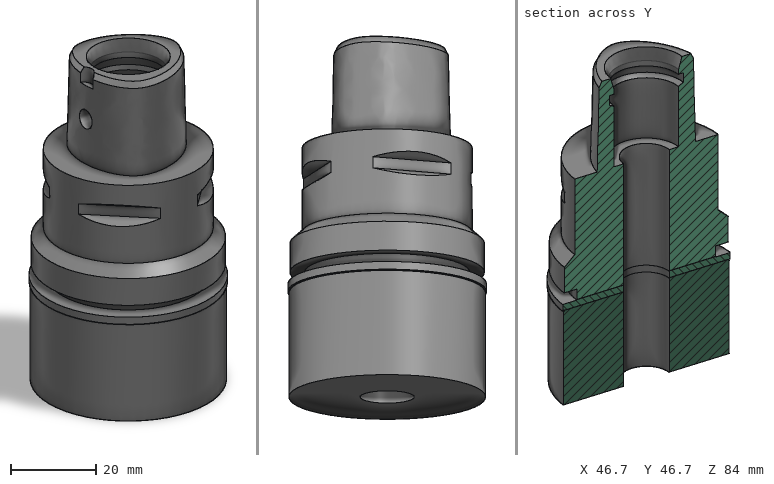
import cadquery as cq
import math

TOTAL_HEIGHT = 84.0
SLEEVE_HEIGHT = 25.4
RING_TOP = 27.2
SHOULDER_BOTTOM = 30.1
SHOULDER_TOP = 37.05
COLLAR_BOTTOM = 39.65
COLLAR_TOP = 60.0

SLEEVE_DIAMETER = 46.2
SLEEVE_CHAMFER = 0.25
RING_DIAMETER = 46.7
NECK_DIAMETER = 38.8
SHOULDER_DIAMETER = 45.7
COLLAR_DIAMETER = 40.0
THROUGH_BORE_DIAMETER = 12.7

SHANK_BASE_DIAMETER = 28.05
SHANK_ECCENTRICITY = 0.9
SHANK_TAPER = 1 / 20
SHANK_CHAMFER_HEIGHT = 1.5
SHANK_CHAMFER_WIDTH = 0.75
OUTLINE_POINTS = 48

BORE_DIAMETER = 17.9
BORE_FLOOR = COLLAR_TOP
LEAD_IN_DIAMETER = 19.7
LEAD_IN_DEPTH = 3.2
GROOVE_DIAMETER = 20.5
GROOVE_TOP_DEPTH = 4.6
GROOVE_BOTTOM_DEPTH = 7.05
GROOVE_CONE_HEIGHT = 0.75

NOTCH_RADIUS = 2.6
NOTCH_DEPTH = 3.95
NOTCH_INNER_EDGE = 10.9
CROSS_HOLE_DIAMETER = 4.8
CROSS_HOLE_HEIGHT = 71.4

SLOT_COUNT = 4
SLOT_FIRST_ANGLE = 45
SLOT_FLOOR_RADIUS = 17.5
SLOT_FLOOR_WIDTH = 2.7
SLOT_HEIGHT = 52.0
SLOT_WALL_ANGLE = 30


def cylinder(diameter, bottom, top):
    """Upright cylinder on the Z axis."""
    return cq.Workplane("XY").workplane(offset=bottom).circle(diameter / 2).extrude(top - bottom)


def revolved(profile):
    """Solid turned about Z from (radius, height) points."""
    return cq.Workplane("XZ").polyline(profile).close().revolve(360, (0, 0), (0, 1))


def lobed_wire(diameter, height):
    """Three-lobed outline with one lobe toward +Y and a flat side toward -Y."""
    e = SHANK_ECCENTRICITY

    def point(angle):
        across = diameter / 2 * math.sin(angle) + 2 * e * math.sin(2 * angle) + e * math.sin(4 * angle)
        along = diameter / 2 * math.cos(angle) - 2 * e * math.cos(2 * angle) + e * math.cos(4 * angle)
        return cq.Vector(across, -along, height)

    points = [point(2 * math.pi * i / OUTLINE_POINTS) for i in range(OUTLINE_POINTS)]
    return cq.Wire.assembleEdges([cq.Edge.makeSpline(points, periodic=True)])


def shank_solid():
    """Tapered lobed shank with a chamfered top."""
    chamfer_bottom = TOTAL_HEIGHT - SHANK_CHAMFER_HEIGHT
    edge_diameter = SHANK_BASE_DIAMETER - SHANK_TAPER * (chamfer_bottom - COLLAR_TOP)
    top_diameter = edge_diameter - 2 * SHANK_CHAMFER_WIDTH
    base = lobed_wire(SHANK_BASE_DIAMETER, COLLAR_TOP)
    edge = lobed_wire(edge_diameter, chamfer_bottom)
    top = lobed_wire(top_diameter, TOTAL_HEIGHT)
    return cq.Workplane(cq.Solid.makeLoft([base, edge, top], True))


def turned_body():
    """Neck, shoulder with its conical top, and collar."""
    profile = [
        (0, RING_TOP),
        (NECK_DIAMETER / 2, RING_TOP),
        (NECK_DIAMETER / 2, SHOULDER_BOTTOM),
        (SHOULDER_DIAMETER / 2, SHOULDER_BOTTOM),
        (SHOULDER_DIAMETER / 2, SHOULDER_TOP),
        (COLLAR_DIAMETER / 2, COLLAR_BOTTOM),
        (COLLAR_DIAMETER / 2, COLLAR_TOP),
        (0, COLLAR_TOP),
    ]
    return revolved(profile)


def bore_tool():
    """Conical lead-in, lip, groove with a conical floor, then a plain bore to a flat floor."""
    groove_bottom = TOTAL_HEIGHT - GROOVE_BOTTOM_DEPTH
    profile = [
        (0, BORE_FLOOR),
        (BORE_DIAMETER / 2, BORE_FLOOR),
        (BORE_DIAMETER / 2, groove_bottom - GROOVE_CONE_HEIGHT),
        (GROOVE_DIAMETER / 2, groove_bottom),
        (GROOVE_DIAMETER / 2, TOTAL_HEIGHT - GROOVE_TOP_DEPTH),
        (BORE_DIAMETER / 2, TOTAL_HEIGHT - GROOVE_TOP_DEPTH),
        (BORE_DIAMETER / 2, TOTAL_HEIGHT - LEAD_IN_DEPTH),
        (LEAD_IN_DIAMETER / 2, TOTAL_HEIGHT),
        (0, TOTAL_HEIGHT),
    ]
    return revolved(profile)


def notch_tool():
    """Round-walled notch in the top edge of the shank."""
    notch = cylinder(2 * NOTCH_RADIUS, TOTAL_HEIGHT - NOTCH_DEPTH, TOTAL_HEIGHT)
    return notch.translate((0, -(NOTCH_INNER_EDGE + NOTCH_RADIUS), 0))


def cross_hole_tool():
    """Radial hole from the -Y side into the bore."""
    hole = cq.Workplane("XZ").center(0, CROSS_HOLE_HEIGHT).circle(CROSS_HOLE_DIAMETER / 2)
    return hole.extrude(SHANK_BASE_DIAMETER)


def slot_tool(angle):
    """Straight slot with a flat floor and flared walls, turned about Z by the angle."""
    collar_radius = COLLAR_DIAMETER / 2
    half_floor = SLOT_FLOOR_WIDTH / 2
    flare = (collar_radius - SLOT_FLOOR_RADIUS) * math.tan(math.radians(SLOT_WALL_ANGLE))
    profile = [
        (SLOT_FLOOR_RADIUS, SLOT_HEIGHT - half_floor),
        (collar_radius, SLOT_HEIGHT - half_floor - flare),
        (collar_radius, SLOT_HEIGHT + half_floor + flare),
        (SLOT_FLOOR_RADIUS, SLOT_HEIGHT + half_floor),
    ]
    slot = cq.Workplane("XZ").polyline(profile).close().extrude(collar_radius, both=True)
    return slot.rotate((0, 0, 0), (0, 0, 1), angle)


def make_adapter():
    """Upper body: lobed shank, collar, shoulder and neck."""
    adapter = turned_body().union(shank_solid())
    adapter = adapter.cut(bore_tool())
    adapter = adapter.cut(cylinder(THROUGH_BORE_DIAMETER, RING_TOP, BORE_FLOOR))
    adapter = adapter.cut(notch_tool())
    adapter = adapter.cut(cross_hole_tool())
    for i in range(SLOT_COUNT):
        adapter = adapter.cut(slot_tool(SLOT_FIRST_ANGLE + i * 360 / SLOT_COUNT))
    return adapter


def make_ring():
    """Thin ring between the neck and the sleeve."""
    ring = cylinder(RING_DIAMETER, SLEEVE_HEIGHT, RING_TOP)
    return ring.cut(cylinder(THROUGH_BORE_DIAMETER, SLEEVE_HEIGHT, RING_TOP))


def make_sleeve():
    """Plain lower sleeve with a small chamfer under the ring."""
    sleeve = cylinder(SLEEVE_DIAMETER, 0, SLEEVE_HEIGHT).faces(">Z").chamfer(SLEEVE_CHAMFER)
    return sleeve.cut(cylinder(THROUGH_BORE_DIAMETER, 0, SLEEVE_HEIGHT))


adapter = make_adapter()
ring = make_ring()
sleeve = make_sleeve()

result = cq.Compound.makeCompound([adapter.val(), ring.val(), sleeve.val()])